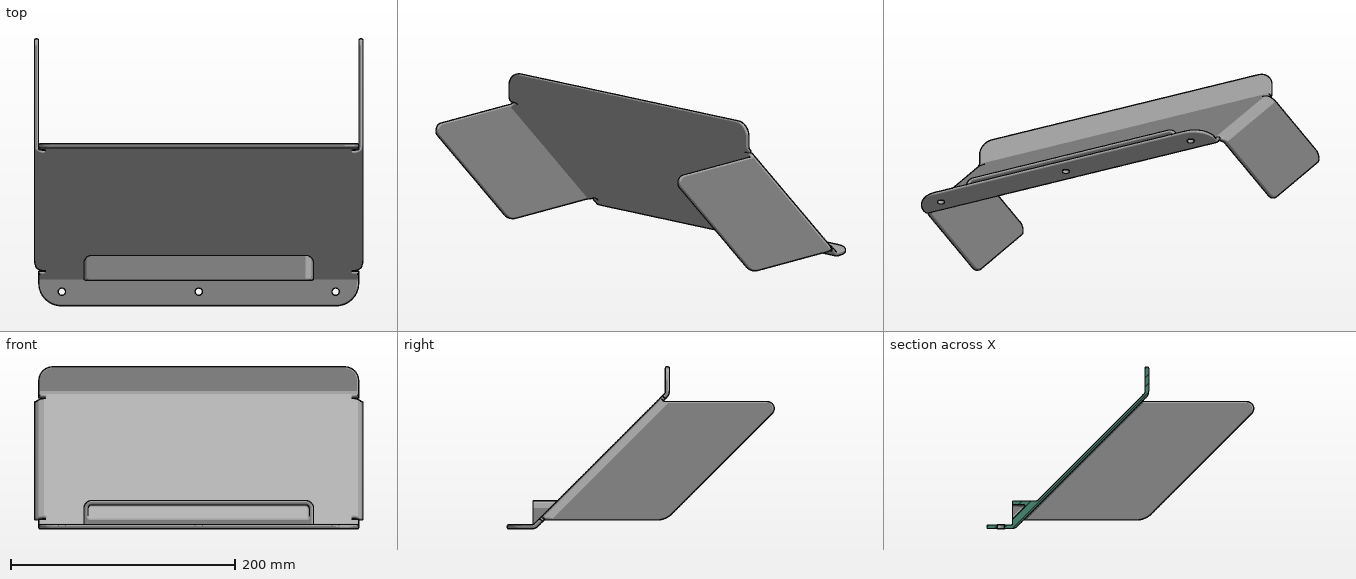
import cadquery as cq
import math

THICKNESS = 3.81
EDGE_ROUND = 1.5
END_BEND_RADIUS = 3.81
SIDE_BEND_RADIUS = 4.76

WIDTH = 293.37
DEPTH = 238.47
HEIGHT = 144.87

PANEL_WIDTH = WIDTH - 2 * THICKNESS
MOUNT_FLANGE = 23.5
MOUNT_CORNER_RADIUS = 20.3
TOP_FLANGE_FRONT_Y = 141.1
TOP_CORNER_RADIUS = 12.7

HOLE_DIAMETER = 6.35
HOLE_PITCH = 122.2
HOLE_EDGE_DISTANCE = 12.7

SIDE_BOTTOM_Z = 7.8
SIDE_TOP_Z = 113.8
SIDE_TIP_RADIUS = 6.35
SIDE_HEEL_RADIUS = 19.05

SLOT_WIDTH = 2.54
BEND_END_DEPTH = 4.7
BEND_END_BLEND = 2.0

HOOD_WIDTH = 205.0
HOOD_FRONT_Y = 22.86
HOOD_TOP_Z = 25.4
HOOD_CORNER_RADIUS = 7.0
POCKET_FLOOR_RADIUS = 1.27
POCKET_OVERRUN = 10.0

ROOT2 = math.sqrt(2)
PANEL_OFFSET = MOUNT_FLANGE - THICKNESS
MITRE = THICKNESS * math.tan(math.radians(22.5))
SIDE_BEND_OUTER_RADIUS = SIDE_BEND_RADIUS + THICKNESS
SLOT_END_X = WIDTH / 2 - SIDE_BEND_OUTER_RADIUS - SLOT_WIDTH / 2

BEND_END_RISE = BEND_END_DEPTH / ROOT2
LEVEL_START = PANEL_OFFSET + BEND_END_DEPTH * ROOT2
FRONT_LOW_Z = SIDE_BOTTOM_Z + BEND_END_RISE
FRONT_HIGH_Z = SIDE_TOP_Z + BEND_END_RISE


def extrude_x(points, width):
    """Prism with a Y-Z outline, centred on X = 0."""
    return cq.Workplane("YZ").polyline(points).close().extrude(width / 2, both=True)


def round_bend(body, corner, radius):
    """Round the edge along X that passes through a Y-Z corner."""
    y, z = corner
    near = cq.selectors.BoxSelector((-1, y - 1, z - 1), (1, y + 1, z + 1))
    return body.edges("|X").edges(near).fillet(radius)


def make_center_strip():
    """Mounting flange, sloping panel and top flange, bent from one strip."""
    inner_low = (MOUNT_FLANGE, THICKNESS)
    inner_high = (TOP_FLANGE_FRONT_Y, TOP_FLANGE_FRONT_Y - PANEL_OFFSET)
    outer_low = (inner_low[0] + MITRE, 0)
    outer_high = (inner_high[0] + THICKNESS, inner_high[1] - MITRE)
    outline = [
        (0, 0),
        outer_low,
        outer_high,
        (outer_high[0], HEIGHT),
        (inner_high[0], HEIGHT),
        inner_high,
        inner_low,
        (0, THICKNESS),
    ]
    strip = extrude_x(outline, PANEL_WIDTH)
    for corner in (inner_low, inner_high):
        strip = round_bend(strip, corner, END_BEND_RADIUS)
    for corner in (outer_low, outer_high):
        strip = round_bend(strip, corner, END_BEND_RADIUS + THICKNESS)
    strip = strip.edges("|Z").edges("<Y").fillet(MOUNT_CORNER_RADIUS)
    return strip.edges("|Y").edges(">Z").fillet(TOP_CORNER_RADIUS)


def make_slots():
    """Round-ended slots that part the side bends from the end flanges."""
    slots = cq.Workplane()
    length = WIDTH / 2
    slot_centres = [(hand * (SLOT_END_X + length / 2), 0) for hand in (-1, 1)]
    half_slot_rise = SLOT_WIDTH / 2 / ROOT2
    for z in (FRONT_LOW_Z - half_slot_rise, FRONT_HIGH_Z + half_slot_rise):
        plane = cq.Plane((0, z + PANEL_OFFSET, z), (1, 0, 0), (0, -1, 1))
        slots = slots.add(
            cq.Workplane(plane)
            .pushPoints(slot_centres)
            .slot2D(length, SLOT_WIDTH)
            .extrude(2 * THICKNESS, both=True)
        )
    return slots


def make_bend_room():
    """The parts of the strip, between the slots, that the side bends replace."""
    reach = 2 * THICKNESS / ROOT2
    room = extrude_x(
        [
            (FRONT_LOW_Z + PANEL_OFFSET - reach, FRONT_LOW_Z + reach),
            (FRONT_HIGH_Z + PANEL_OFFSET - reach, FRONT_HIGH_Z + reach),
            (FRONT_HIGH_Z + PANEL_OFFSET + reach, FRONT_HIGH_Z - reach),
            (FRONT_LOW_Z + PANEL_OFFSET + reach, FRONT_LOW_Z - reach),
        ],
        WIDTH,
    )
    flat_width = WIDTH - 2 * SIDE_BEND_OUTER_RADIUS
    return room.cut(cq.Workplane("XY").box(flat_width, 2 * DEPTH, 2 * HEIGHT))


def make_side_flange():
    """Left side flange with its bend, ending on the panel at the bend's tangent line."""
    back_offset = DEPTH - SIDE_TOP_Z + SIDE_TIP_RADIUS * ROOT2
    depth = (back_offset - PANEL_OFFSET) / ROOT2
    left = -WIDTH / 2
    tangent_x = left + SIDE_BEND_OUTER_RADIUS
    plane = cq.Plane((0, PANEL_OFFSET, 0), (1, 0, 0), (0, 1, 1))
    profile = (
        cq.Workplane(plane)
        .moveTo(left, depth)
        .lineTo(left, SIDE_BEND_OUTER_RADIUS)
        .radiusArc((tangent_x, 0), -SIDE_BEND_OUTER_RADIUS)
        .lineTo(tangent_x, THICKNESS)
        .radiusArc((left + THICKNESS, SIDE_BEND_OUTER_RADIUS), SIDE_BEND_RADIUS)
        .lineTo(left + THICKNESS, depth)
        .close()
        .extrude(HEIGHT * 2, both=True)
    )
    outline = extrude_x(
        [
            (FRONT_LOW_Z + PANEL_OFFSET, FRONT_LOW_Z),
            (SIDE_BOTTOM_Z + LEVEL_START, SIDE_BOTTOM_Z),
            (SIDE_BOTTOM_Z + back_offset, SIDE_BOTTOM_Z),
            (SIDE_TOP_Z + back_offset, SIDE_TOP_Z),
            (SIDE_TOP_Z + LEVEL_START, SIDE_TOP_Z),
            (FRONT_HIGH_Z + PANEL_OFFSET, FRONT_HIGH_Z),
        ],
        WIDTH,
    )
    outline = outline.edges("|X").edges(">Y").fillet(SIDE_TIP_RADIUS)
    heel = (SIDE_BOTTOM_Z + back_offset, SIDE_BOTTOM_Z)
    outline = round_bend(outline, heel, SIDE_HEEL_RADIUS)
    for z in (SIDE_BOTTOM_Z, SIDE_TOP_Z):
        outline = round_bend(outline, (z + LEVEL_START, z), BEND_END_BLEND)
    return profile.intersect(outline)


def make_sheet():
    """The whole bent sheet with square edges."""
    strip = make_center_strip().cut(make_slots()).cut(make_bend_room())
    left = make_side_flange()
    return strip.union(left).union(left.mirror("YZ")).solids()


def edge_faces(solid):
    """Each edge of a solid with the faces that meet there."""
    table = {}
    for face in solid.Faces():
        for edge in face.Edges():
            table.setdefault(edge.hashCode(), (edge, []))[1].append(face)
    return table.values()


def round_rim(sheet):
    """Round both edges of the sheet's rim, leaving the tangent lines of the bends alone."""
    solid = sheet.val()
    tangent_cosine = 0.8
    length_tolerance = 0.01
    rim = []
    for edge, faces in edge_faces(solid):
        if len(faces) != 2:
            continue
        middle = edge.positionAt(0.5)
        first, second = (face.normalAt(middle) for face in faces)
        is_sharp = abs(first.dot(second)) < tangent_cosine
        crosses_sheet = abs(edge.Length() - THICKNESS) < length_tolerance
        if is_sharp and not crosses_sheet:
            rim.append(edge)
    return sheet.newObject([solid.fillet(EDGE_ROUND, rim)])


def make_wedge(half_width, top_z, corner_radius, front_y, back_offset):
    """Round-topped block from front_y back to the slope y - z = back_offset."""
    back_y = top_z + back_offset
    block = (
        cq.Workplane("XZ", origin=(0, front_y, 0))
        .rect(2 * half_width, 2 * top_z)
        .extrude(front_y - back_y)
        .edges("|Y")
        .edges(">Z")
        .fillet(corner_radius)
    )
    front_of_slope = extrude_x(
        [(front_y, top_z), (back_y, top_z), (front_y, front_y - back_offset)], WIDTH
    )
    return block.intersect(front_of_slope)


def make_hood():
    """Hood on the panel with a pocket that opens forward and has a sloping floor."""
    hood = make_wedge(
        HOOD_WIDTH / 2,
        HOOD_TOP_Z,
        HOOD_CORNER_RADIUS,
        HOOD_FRONT_Y,
        PANEL_OFFSET + THICKNESS / 2,
    )
    pocket = make_wedge(
        HOOD_WIDTH / 2 - THICKNESS,
        HOOD_TOP_Z - THICKNESS,
        HOOD_CORNER_RADIUS - THICKNESS,
        HOOD_FRONT_Y - POCKET_OVERRUN,
        PANEL_OFFSET - THICKNESS * ROOT2,
    )
    floor = cq.selectors.DirectionMinMaxSelector(cq.Vector(0, 1, -1), True)
    pocket = pocket.faces(floor).edges("not <Y").fillet(POCKET_FLOOR_RADIUS)
    hood = hood.cut(pocket)
    return hood.faces("<Y").edges("not <Z").fillet(EDGE_ROUND)


def make_holes():
    """Row of mounting holes through the mounting flange."""
    return (
        cq.Workplane("XY")
        .pushPoints([(step * HOLE_PITCH, HOLE_EDGE_DISTANCE) for step in (-1, 0, 1)])
        .circle(HOLE_DIAMETER / 2)
        .extrude(THICKNESS)
    )


result = round_rim(make_sheet()).union(make_hood()).cut(make_holes())